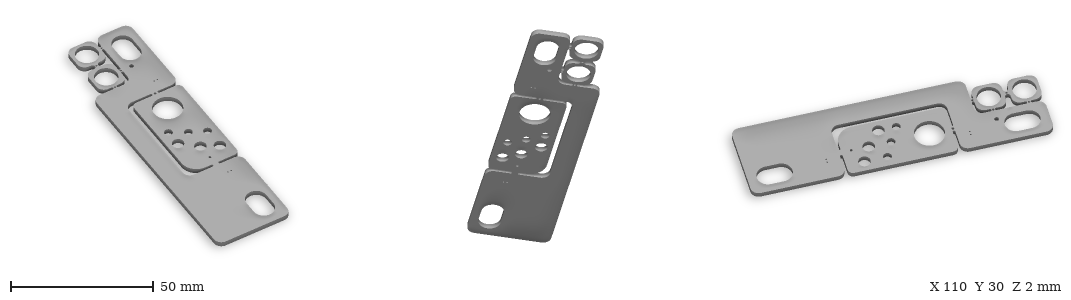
import cadquery as cq

LENGTH = 110.0
WIDTH = 30.0
THICKNESS = 2.0
CORNER_RADIUS = 3.0

ARM_WIDTH = 14.0
NOTCH_LENGTH = 25.0

PANEL_LEFT = 34.9
PANEL_LENGTH = 40.0
PANEL_WIDTH = 20.1
PANEL_RADIUS = 2.0
PANEL_BIG_RADIUS = 6.0
PANEL_SIDE_GAP = 1.0
WINDOW_DEPTH = 22.2

SLOT_LENGTH = 13.0
SLOT_WIDTH = 8.0
SLOT_END_DISTANCE = 9.9
SLOT_TOP_DISTANCE = 6.9

RING_SIZE = 11.0
RING_BORE = 8.6
RING_PITCH = 13.0
RING_ARM_GAP = 1.0

PANEL_TAB_NECK = 2.2
PANEL_TAB_HOLE = 1.0
RING_TAB_NECK = 1.3
RING_TAB_HOLE = 0.8

ROW_PITCH = 6.0
BIG_HOLE = 11.0
BIG_HOLE_X = 42.9
SMALL_HOLE = 3.1
SMALL_HOLE_XS = (53.4, 56.9, 59.8)
MEDIUM_HOLE = 4.4
MEDIUM_HOLE_XS = (59.8, 65.0, 68.2)
PANEL_PIN_HOLE = 1.0
PANEL_PIN_HOLE_X = 71.4

ARM_HOLE = 1.6
ARM_HOLE_X = 18.5
PINHOLE = 0.5
PINHOLE_PITCH = 1.3
PINHOLE_PAIRS = ((29.0, 23.5), (81.0, 22.2))

notch_top = WIDTH - ARM_WIDTH
panel_bottom = WIDTH - PANEL_WIDTH
panel_mid = WIDTH - PANEL_WIDTH / 2
panel_right = PANEL_LEFT + PANEL_LENGTH
window_left = PANEL_LEFT - PANEL_SIDE_GAP
window_right = panel_right + PANEL_SIDE_GAP
window_bottom = WIDTH - WINDOW_DEPTH
ring_y = notch_top - RING_ARM_GAP - RING_SIZE / 2
ring_xs = [RING_SIZE / 2, RING_SIZE / 2 + RING_PITCH]


def block(left, right, bottom, top):
    """Full-thickness rectangular block."""
    size = (right - left, top - bottom, THICKNESS)
    return cq.Workplane("XY").box(*size, centered=False).translate((left, bottom, 0))


def cylinders(points, diameter):
    """Full-thickness round pins at the given points."""
    return cq.Workplane("XY").pushPoints(points).circle(diameter / 2).extrude(THICKNESS)


def make_plate():
    """Rounded plate with the notch under the left arm and the panel window."""
    outline = [
        (0, WIDTH),
        (0, notch_top),
        (NOTCH_LENGTH, notch_top),
        (NOTCH_LENGTH, 0),
        (LENGTH, 0),
        (LENGTH, WIDTH),
        (window_right, WIDTH),
        (window_right, window_bottom),
        (window_left, window_bottom),
        (window_left, WIDTH),
    ]
    plate = cq.Workplane("XY").polyline(outline).close().extrude(THICKNESS)
    return plate.edges("|Z").fillet(CORNER_RADIUS)


def make_panel():
    """Inner panel with one large corner at its lower right."""
    panel = block(PANEL_LEFT, panel_right, panel_bottom, WIDTH)
    panel = panel.edges("|Z and >X and <Y").fillet(PANEL_BIG_RADIUS)
    small_corners = panel.edges("(|Z and <X) or (|Z and >Y)")
    return small_corners.fillet(PANEL_RADIUS)


def make_ring(x):
    """Square ring blank with rounded corners."""
    half = RING_SIZE / 2
    ring = block(x - half, x + half, ring_y - half, ring_y + half)
    return ring.edges("|Z").fillet(CORNER_RADIUS)


def make_tab(x, y, gap, neck, across_x):
    """Bridge over a gap, its two free sides hollowed by half rounds as wide as the gap."""
    offset = (neck + gap) / 2
    if across_x:
        tab = block(x - gap / 2, x + gap / 2, y - offset, y + offset)
        ends = [(x, y - offset), (x, y + offset)]
    else:
        tab = block(x - offset, x + offset, y - gap / 2, y + gap / 2)
        ends = [(x - offset, y), (x + offset, y)]
    return tab.cut(cylinders(ends, gap))


def make_slot(x):
    """Cutter for a mounting slot with full round ends."""
    y = WIDTH - SLOT_TOP_DISTANCE
    return cq.Workplane("XY").center(x, y).slot2D(SLOT_LENGTH, SLOT_WIDTH).extrude(THICKNESS)


result = make_plate().union(make_panel())
for ring_x in ring_xs:
    result = result.union(make_ring(ring_x))

left_tab_x = PANEL_LEFT - PANEL_SIDE_GAP / 2
right_tab_x = panel_right + PANEL_SIDE_GAP / 2
for tab_x in (left_tab_x, right_tab_x):
    result = result.union(make_tab(tab_x, panel_mid, PANEL_SIDE_GAP, PANEL_TAB_NECK, True))

ring_tab_points = []
arm_tab_y = notch_top - RING_ARM_GAP / 2
for ring_x in ring_xs:
    result = result.union(make_tab(ring_x, arm_tab_y, RING_ARM_GAP, RING_TAB_NECK, False))
    ring_tab_points.append((ring_x, arm_tab_y))
next_edges = (ring_xs[1] - RING_SIZE / 2, NOTCH_LENGTH)
for ring_x, next_edge in zip(ring_xs, next_edges):
    ring_edge = ring_x + RING_SIZE / 2
    tab_x = (ring_edge + next_edge) / 2
    result = result.union(make_tab(tab_x, ring_y, next_edge - ring_edge, RING_TAB_NECK, True))
    ring_tab_points.append((tab_x, ring_y))

for slot_x in (SLOT_END_DISTANCE, LENGTH - SLOT_END_DISTANCE):
    result = result.cut(make_slot(slot_x))

row_ys = (panel_mid - ROW_PITCH, panel_mid, panel_mid + ROW_PITCH)
pinhole_points = []
for pair_x, pair_y in PINHOLE_PAIRS:
    pinhole_points.append((pair_x, pair_y - PINHOLE_PITCH / 2))
    pinhole_points.append((pair_x, pair_y + PINHOLE_PITCH / 2))
hole_groups = [
    ([(ring_x, ring_y) for ring_x in ring_xs], RING_BORE),
    ([(BIG_HOLE_X, panel_mid)], BIG_HOLE),
    (list(zip(SMALL_HOLE_XS, row_ys)), SMALL_HOLE),
    (list(zip(MEDIUM_HOLE_XS, row_ys)), MEDIUM_HOLE),
    ([(PANEL_PIN_HOLE_X, panel_mid)], PANEL_PIN_HOLE),
    ([(ARM_HOLE_X, panel_mid)], ARM_HOLE),
    (pinhole_points, PINHOLE),
    ([(left_tab_x, panel_mid)], PANEL_TAB_HOLE),
    (ring_tab_points, RING_TAB_HOLE),
]
for points, diameter in hole_groups:
    result = result.cut(cylinders(points, diameter))